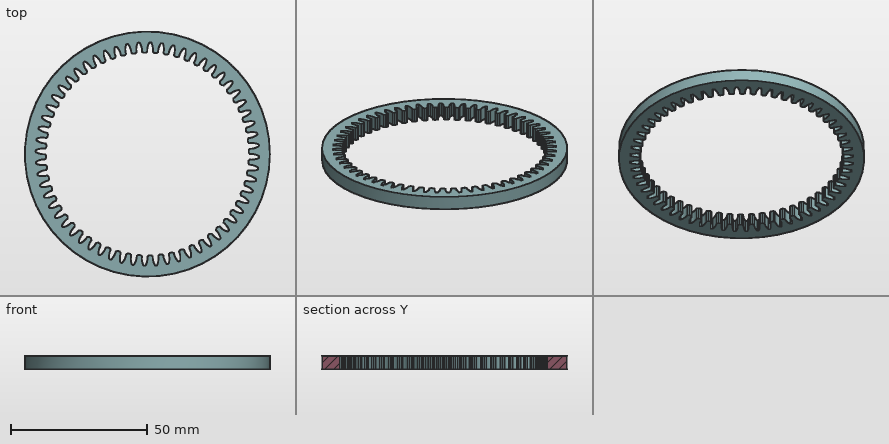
import cadquery as cq
import math

outer_diameter = 90.0
thickness = 5.0

tooth_count = 60
first_tooth_angle = 1.5
pitch_angle = 360.0 / tooth_count

tip_radius = 37.13
tip_land_half_width = 0.4
tip_chamfer_depth = 0.45
shoulder_radius = tip_radius + tip_chamfer_depth
shoulder_half_width = 1.0
flank_middle_radius = 39.6
flank_middle_half_width = 1.24
flank_root_radius = 40.85
flank_root_half_width = 1.78
root_radius = 41.0


def tooth_point(angle, radius, offset):
    """Point on the tooth centred at an angle in degrees: distance along its centreline, then sideways."""
    direction = math.radians(angle)
    return (
        radius * math.cos(direction) - offset * math.sin(direction),
        radius * math.sin(direction) + offset * math.cos(direction),
    )


def add_tooth(outline, angle):
    """Continue the outline over one tooth: flank, chamfered tip, flank, then the root gap."""
    gap_angle = angle + pitch_angle / 2
    next_angle = angle + pitch_angle
    return (
        outline
        .threePointArc(
            tooth_point(angle, flank_middle_radius, -flank_middle_half_width),
            tooth_point(angle, shoulder_radius, -shoulder_half_width),
        )
        .lineTo(*tooth_point(angle, tip_radius, -tip_land_half_width))
        .lineTo(*tooth_point(angle, tip_radius, tip_land_half_width))
        .lineTo(*tooth_point(angle, shoulder_radius, shoulder_half_width))
        .threePointArc(
            tooth_point(angle, flank_middle_radius, flank_middle_half_width),
            tooth_point(angle, flank_root_radius, flank_root_half_width),
        )
        .threePointArc(
            tooth_point(gap_angle, root_radius, 0.0),
            tooth_point(next_angle, flank_root_radius, -flank_root_half_width),
        )
    )


def make_toothed_bore():
    """Solid filling the toothed opening through the ring."""
    start = tooth_point(first_tooth_angle, flank_root_radius, -flank_root_half_width)
    outline = cq.Workplane("XY").moveTo(*start)
    for index in range(tooth_count):
        outline = add_tooth(outline, first_tooth_angle + index * pitch_angle)
    return outline.close().extrude(thickness)


ring_blank = cq.Workplane("XY").circle(outer_diameter / 2).extrude(thickness)
result = ring_blank.cut(make_toothed_bore())